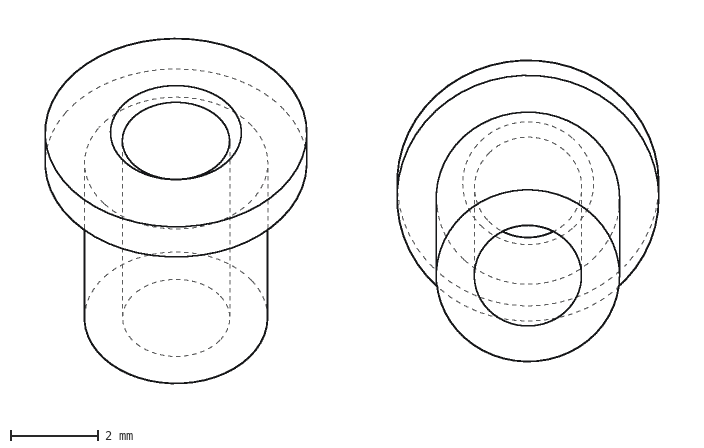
import cadquery as cq

total_height = 6.1
flange_diameter = 6.0
flange_thickness = 0.995
sleeve_diameter = 4.2
bore_diameter = 2.46
bore_mouth_diameter = flange_diameter / 2

lead_in = (bore_mouth_diameter - bore_diameter) / 2

sleeve = (
    cq.Workplane("XY")
    .workplane(offset=-total_height / 2)
    .circle(sleeve_diameter / 2)
    .extrude(total_height)
)
flange = (
    cq.Workplane("XY")
    .workplane(offset=total_height / 2 - flange_thickness)
    .circle(flange_diameter / 2)
    .extrude(flange_thickness)
)

bushing = sleeve.union(flange).faces(">Z").workplane().hole(bore_diameter)
result = bushing.faces(">Z").edges("%CIRCLE").edges(cq.selectors.RadiusNthSelector(0)).chamfer(lead_in)